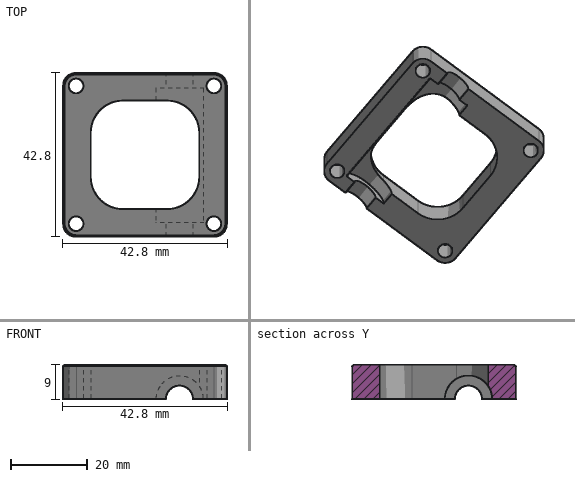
import cadquery as cq

side = 42.75
height = 9.0
corner_radius = 3.4
top_chamfer = 0.45

window_side = 28.2
window_radius = 8.35

hole_diameter = 3.75
hole_spacing = side - 2 * corner_radius

channel_radius = 3.5
channel_x = 8.98

pocket_radius = 6.15
pocket_end_wall = 3.85
pocket_length = side - 2 * pocket_end_wall


def rounded_block(width, radius):
    return cq.Workplane("XY").rect(width, width).extrude(height).edges("|Z").fillet(radius)


def corner_holes():
    return (
        cq.Workplane("XY")
        .rect(hole_spacing, hole_spacing, forConstruction=True)
        .vertices()
        .circle(hole_diameter / 2)
        .extrude(height)
    )


def underside_groove(radius, length):
    return (
        cq.Workplane("XZ")
        .center(channel_x, 0)
        .circle(radius)
        .extrude(length / 2, both=True)
    )


frame = rounded_block(side, corner_radius).faces(">Z").edges().chamfer(top_chamfer)
window = rounded_block(window_side, window_radius)
channel = underside_groove(channel_radius, side)
pocket = underside_groove(pocket_radius, pocket_length)
result = frame.cut(window).cut(corner_holes()).cut(channel).cut(pocket)